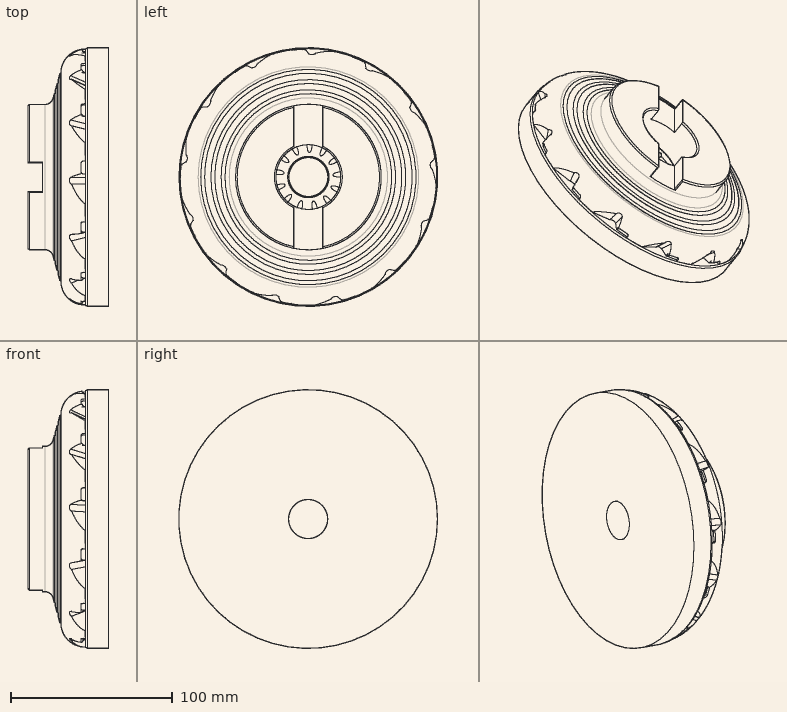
import cadquery as cq
import math

total_length = 50.04
rim_radius = 80.0
plate_start = 35.6
rim_bevel_length = 1.4
rim_bevel_drop = 0.7

hub_radius = 45.0
hub_length = 10.7
hub_chamfer = 1.0

cone_start = (15.6, 48.9)
cone_end = (20.9, 68.1)
shoulder_radius = 79.2

bore_radius = 20.0
bore_depth = 28.0
relief_start = 24.0
relief_step = 0.8
through_radius = 12.0
through_chamfer = 0.8

slot_width = 17.5
slot_depth = 9.0
slot_chamfer = 0.8
face_chamfer = 0.4

groove_count = 3
first_groove_radius = 52.7
groove_pitch = 6.3
groove_width = 2.5
groove_depth = 0.9

pocket_count = 13
trough_lip = 25.8
trough_tilt = 28.0
trough_reach = 13.0
trough_bottom = (-0.1, 76.5)
trough_middle = (-1.7, 75.6)
ramp_foot = (-4.3, 77.0)
ramp_angle = 21.0
trough_wall_lean = 22.7
pocket_top = 85.0
recess_start = 32.9
recess_center = 6.0
recess_length = 8.0
recess_floor = 77.0
recess_corner = 1.5

notch_radius = 1.5
notch_inner_radius = 15.2
notch_end_radius = 22.0
notch_tilt = 20.0
notch_turn = 2.2


def radial_tangent_arc(start, end):
    """Middle point of the arc that leaves start along +X and reaches end."""
    dx = end[0] - start[0]
    dr = end[1] - start[1]
    arc_radius = (dx ** 2 + dr ** 2) / (2 * dr)
    half_angle = math.asin(dx / arc_radius) / 2
    return (start[0] + arc_radius * math.sin(half_angle),
            start[1] + arc_radius * (1 - math.cos(half_angle)))


def cone_angle():
    """Lean of the conical face from the radial direction."""
    return math.atan2(cone_end[0] - cone_start[0], cone_end[1] - cone_start[1])


def shoulder_points():
    """Middle and crown point of the rounded shoulder, tangent to the conical face."""
    lean = cone_angle()
    arc_radius = (shoulder_radius - cone_end[1]) / (1 - math.sin(lean))
    center_x = cone_end[0] + arc_radius * math.cos(lean)
    center_r = shoulder_radius - arc_radius
    mid_angle = (lean + math.pi / 2) / 2
    middle = (center_x - arc_radius * math.cos(mid_angle), center_r + arc_radius * math.sin(mid_angle))
    return middle, (center_x, shoulder_radius)


def body():
    """Hub, conical face and rounded shoulder with the stepped bore, up to the plate."""
    hub_end = (hub_length, hub_radius)
    shoulder_middle, shoulder_crown = shoulder_points()
    return (
        cq.Workplane("XY")
        .moveTo(0, bore_radius + hub_chamfer)
        .lineTo(0, hub_radius - hub_chamfer)
        .lineTo(hub_chamfer, hub_radius)
        .lineTo(*hub_end)
        .threePointArc(radial_tangent_arc(hub_end, cone_start), cone_start)
        .lineTo(*cone_end)
        .threePointArc(shoulder_middle, shoulder_crown)
        .lineTo(plate_start, shoulder_radius)
        .lineTo(plate_start, through_radius)
        .lineTo(bore_depth + through_chamfer, through_radius)
        .lineTo(bore_depth, through_radius + through_chamfer)
        .lineTo(bore_depth, bore_radius + relief_step)
        .lineTo(relief_start + relief_step, bore_radius + relief_step)
        .lineTo(relief_start, bore_radius)
        .lineTo(hub_chamfer, bore_radius)
        .close()
        .revolve(360, (0, 0), (1, 0))
    )


def rim_plate():
    """Flat plate behind the shoulder with a slight bevel in front of its rim."""
    return (
        cq.Workplane("XY")
        .moveTo(plate_start, through_radius)
        .lineTo(plate_start, rim_radius - rim_bevel_drop)
        .lineTo(plate_start + rim_bevel_length, rim_radius)
        .lineTo(total_length, rim_radius)
        .lineTo(total_length, through_radius)
        .close()
        .revolve(360, (0, 0), (1, 0))
    )


def ring_groove(radius):
    """Ring cutter with a rounded floor, sunk groove_depth into the conical face."""
    lean = cone_angle()
    uphill = cq.Vector(math.sin(lean), math.cos(lean))
    outward = cq.Vector(-math.cos(lean), math.sin(lean))
    face_x = cone_start[0] + (radius - cone_start[1]) * math.tan(lean)
    middle = cq.Vector(face_x, radius)
    inner_edge = middle - uphill * (groove_width / 2)
    outer_edge = middle + uphill * (groove_width / 2)
    floor = middle - outward * groove_depth
    apex = middle + outward * groove_depth
    return (
        cq.Workplane("XY")
        .moveTo(inner_edge.x, inner_edge.y)
        .threePointArc((floor.x, floor.y), (outer_edge.x, outer_edge.y))
        .lineTo(apex.x, apex.y)
        .close()
        .revolve(360, (0, 0), (1, 0))
    )


def cross_slot():
    """Slot along Z, chamfered along the hub face and where its walls meet the hub cylinder."""
    half = slot_width / 2
    flare_end = math.sqrt(hub_radius ** 2 - half ** 2)
    flare_start = flare_end - slot_chamfer
    reach = hub_radius + hub_chamfer
    flared_half = half + reach - flare_start
    slot = (
        cq.Workplane("YZ")
        .polyline([
            (-half, -flare_start), (-flared_half, -reach), (flared_half, -reach), (half, -flare_start),
            (half, flare_start), (flared_half, reach), (-flared_half, reach), (-half, flare_start),
        ])
        .close()
        .extrude(slot_depth)
    )
    face_bevel = (
        cq.Workplane("XY")
        .polyline([
            (0, -half - face_chamfer), (face_chamfer, -half),
            (face_chamfer, half), (0, half + face_chamfer),
        ])
        .close()
        .extrude(reach, both=True)
    )
    return slot.union(face_bevel)


def rim_pocket():
    """Sunken trough with run-out ramp, and the side recess, of the pocket at the top."""
    wall_rise = pocket_top - trough_bottom[1]
    wall_mouth_y = trough_bottom[0] + wall_rise * math.tan(math.radians(trough_wall_lean))
    ramp_rise = pocket_top - ramp_foot[1]
    ramp_mouth_y = ramp_foot[0] - ramp_rise / math.tan(math.radians(ramp_angle))
    lip_height = trough_middle[1]
    trough = (
        cq.Workplane("YZ", origin=(trough_lip - trough_reach, 0, 0))
        .moveTo(wall_mouth_y, pocket_top)
        .lineTo(*trough_bottom)
        .threePointArc(trough_middle, ramp_foot)
        .lineTo(ramp_mouth_y, pocket_top)
        .close()
        .extrude(2 * trough_reach)
        .rotate((trough_lip, 0, lip_height), (trough_lip, 1, lip_height), trough_tilt)
    )
    recess_width = plate_start - recess_start
    recess = (
        cq.Workplane("XY", origin=(recess_start + recess_width / 2, recess_center, recess_floor))
        .rect(recess_width, recess_length)
        .extrude(pocket_top - recess_floor)
        .edges("|Z and <X")
        .fillet(recess_corner)
    )
    return trough.union(recess)


def floor_notch():
    """Tilted blind hole that scoops the bore floor and ends behind the bore wall."""
    tilt = math.radians(notch_tilt)
    start_x = bore_depth - notch_radius / math.cos(tilt)
    length = (notch_end_radius - notch_inner_radius) / math.cos(tilt)
    lead = notch_radius
    direction = cq.Vector(math.sin(tilt), 0, math.cos(tilt))
    start = cq.Vector(start_x, 0, notch_inner_radius) - direction * lead
    return cq.Workplane(cq.Solid.makeCylinder(notch_radius, length + lead, start, direction))


result = body()
for index in range(groove_count):
    result = result.cut(ring_groove(first_groove_radius + index * groove_pitch))
result = result.cut(cross_slot())

pocket = rim_pocket()
notch = floor_notch()
for index in range(pocket_count):
    angle = index * 360 / pocket_count
    result = result.cut(pocket.rotate((0, 0, 0), (1, 0, 0), angle))
    result = result.cut(notch.rotate((0, 0, 0), (1, 0, 0), angle + notch_turn))
result = result.union(rim_plate())